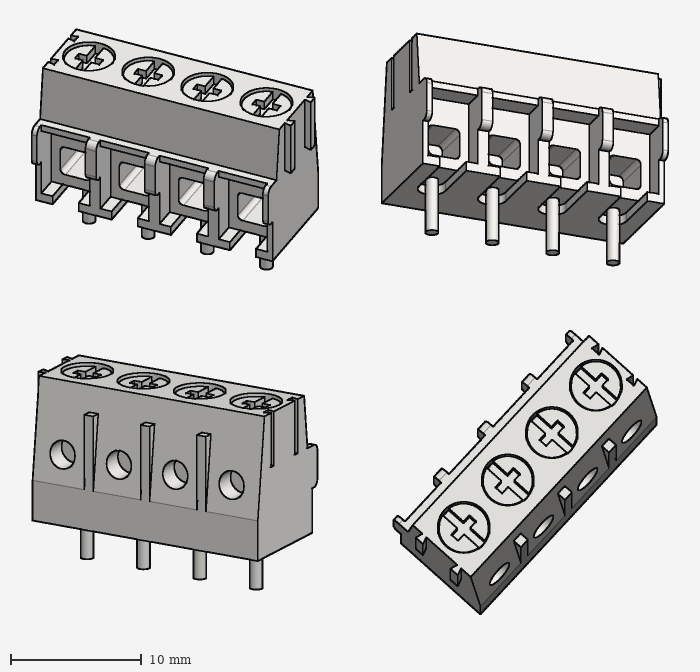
import cadquery as cq

POLES = 4
PITCH = 5.0
BODY_LENGTH = POLES * PITCH
BODY_HEIGHT = 11.35
OVERALL_HEIGHT = 15.0

REAR_Y = 4.0
FRONT_Y = -4.22
LIP_Y = -5.0
TOP_HALF_WIDTH = 3.0
REAR_SLOPE_Z = 3.25
LEDGE_Y = -3.5
LEDGE_Z = 7.0
LIP_BOTTOM_Z = 3.58
LIP_RADIUS = 0.55

POCKET_WIDTH = 4.1
POCKET_FLOOR_Z = 0.75
POCKET_ROOF_Z = LEDGE_Z - LIP_RADIUS
POCKET_DEPTH = 1.82
POCKET_BACK_Y = FRONT_Y + POCKET_DEPTH
WINDOW_WIDTH = 2.6
WINDOW_HEIGHT = 2.5
WINDOW_BOTTOM_Z = 1.7
WINDOW_RADIUS = 0.4
WINDOW_DEPTH = 3.5

SCREW_BORE_DIAMETER = 4.0
SCREW_DIAMETER = 3.8
SCREW_RECESS = 0.25
DRIVE_DEPTH = 0.7
DRIVE_WIDTH = 0.7
DRIVE_SHORT_LENGTH = 2.05
SCREW_BORE_DEPTH = 1.5

PIN_DIAMETER = 1.0
PIN_LENGTH = OVERALL_HEIGHT - BODY_HEIGHT
SLOT_WIDTH = 2.2

REAR_HOLE_DIAMETER = 2.2
REAR_HOLE_Z = 5.62
REAR_HOLE_DEPTH = 2.0
RIB_WIDTH = 0.8
RIB_TOP_Z = 9.25
RIB_FRONT_Y = TOP_HALF_WIDTH

DOVETAIL_DEPTH = 0.57
DOVETAIL_NECK = 0.4
DOVETAIL_WIDTH = 0.75
DOVETAIL_OFFSET = 1.8

POLE_X = [PITCH * (index + 0.5) for index in range(POLES)]
DIVIDER_X = [PITCH * index for index in range(1, POLES)]


def box(x_center, x_size, y_min, y_max, z_min, z_max):
    """Block centred on x_center and spanning the given Y and Z ranges."""
    block = cq.Workplane("XY").box(x_size, y_max - y_min, z_max - z_min, centered=(True, False, False))
    return block.translate((x_center, y_min, z_min))


def cylinder(x, z_min, z_max, diameter):
    """Vertical cylinder on the pin row."""
    return cq.Workplane("XY", origin=(x, 0, z_min)).circle(diameter / 2).extrude(z_max - z_min)


def housing():
    """Side profile with sloped flanks and a rounded front lip, extruded along X."""
    blank = (
        cq.Workplane("YZ")
        .moveTo(REAR_Y, 0)
        .lineTo(REAR_Y, REAR_SLOPE_Z)
        .lineTo(TOP_HALF_WIDTH, BODY_HEIGHT)
        .lineTo(-TOP_HALF_WIDTH, BODY_HEIGHT)
        .lineTo(LEDGE_Y, LEDGE_Z)
        .lineTo(LIP_Y, LEDGE_Z)
        .lineTo(LIP_Y, LIP_BOTTOM_Z)
        .lineTo(FRONT_Y, LIP_BOTTOM_Z)
        .lineTo(FRONT_Y, 0)
        .close()
        .extrude(BODY_LENGTH)
    )
    return blank.faces("<Y").edges("|X").fillet(LIP_RADIUS)


def rear_rib(x):
    """Upright rib filling the wedge behind the sloped rear flank."""
    return box(x, RIB_WIDTH, RIB_FRONT_Y, REAR_Y, 0, RIB_TOP_Z)


def wire_pocket(x):
    """Lip clearance, open pocket and rounded wire window of one pole."""
    lip_gap = box(x, POCKET_WIDTH, LIP_Y, FRONT_Y, 0, LEDGE_Z)
    pocket = box(x, POCKET_WIDTH, LIP_Y, POCKET_BACK_Y, POCKET_FLOOR_Z, POCKET_ROOF_Z)
    window_back_y = POCKET_BACK_Y + WINDOW_DEPTH
    window_top_z = WINDOW_BOTTOM_Z + WINDOW_HEIGHT
    window = box(x, WINDOW_WIDTH, POCKET_BACK_Y, window_back_y, WINDOW_BOTTOM_Z, window_top_z)
    window = window.edges("|Y").fillet(WINDOW_RADIUS)
    return lip_gap.union(pocket).union(window)


def pin_slot(x):
    """Slot in the underside, open at the front and rounded around the pin."""
    straight = box(x, SLOT_WIDTH, FRONT_Y, 0, 0, POCKET_FLOOR_Z)
    return straight.union(cylinder(x, 0, POCKET_FLOOR_Z, SLOT_WIDTH))


def rear_hole(x):
    """Blind round hole running forward from the rear flank."""
    plane = cq.Workplane("XZ", origin=(x, REAR_Y, REAR_HOLE_Z))
    return plane.circle(REAR_HOLE_DIAMETER / 2).extrude(REAR_HOLE_DEPTH)


def screw_bore(x):
    """Bore for one screw, leaving the recessed screw head with its cross drive."""
    floor_z = BODY_HEIGHT - SCREW_BORE_DEPTH
    head_z = BODY_HEIGHT - SCREW_RECESS
    drive_z = head_z - DRIVE_DEPTH
    radius = SCREW_BORE_DIAMETER / 2
    long_slot = box(x, DRIVE_WIDTH, -radius, radius, drive_z, head_z)
    short_slot = box(x, DRIVE_SHORT_LENGTH, -DRIVE_WIDTH / 2, DRIVE_WIDTH / 2, drive_z, head_z)
    head = cylinder(x, floor_z, head_z, SCREW_DIAMETER).cut(long_slot).cut(short_slot)
    return cylinder(x, floor_z, BODY_HEIGHT, SCREW_BORE_DIAMETER).cut(head)


def dovetail(x, y):
    """Dovetail key from ledge height to the top, narrow at x and widening toward +X."""
    return (
        cq.Workplane("XY", origin=(x, y, LEDGE_Z))
        .moveTo(0, -DOVETAIL_NECK / 2)
        .lineTo(DOVETAIL_DEPTH, -DOVETAIL_WIDTH / 2)
        .lineTo(DOVETAIL_DEPTH, DOVETAIL_WIDTH / 2)
        .lineTo(0, DOVETAIL_NECK / 2)
        .close()
        .extrude(BODY_HEIGHT - LEDGE_Z)
    )


result = housing()

for divider in DIVIDER_X:
    result = result.union(rear_rib(divider))

for pole in POLE_X:
    result = result.cut(wire_pocket(pole))
    result = result.cut(pin_slot(pole))
    result = result.cut(rear_hole(pole))
    result = result.cut(screw_bore(pole))
    result = result.union(cylinder(pole, -PIN_LENGTH, POCKET_FLOOR_Z, PIN_DIAMETER))

for offset in (-DOVETAIL_OFFSET, DOVETAIL_OFFSET):
    result = result.cut(dovetail(0, offset))
    result = result.union(dovetail(BODY_LENGTH, offset))